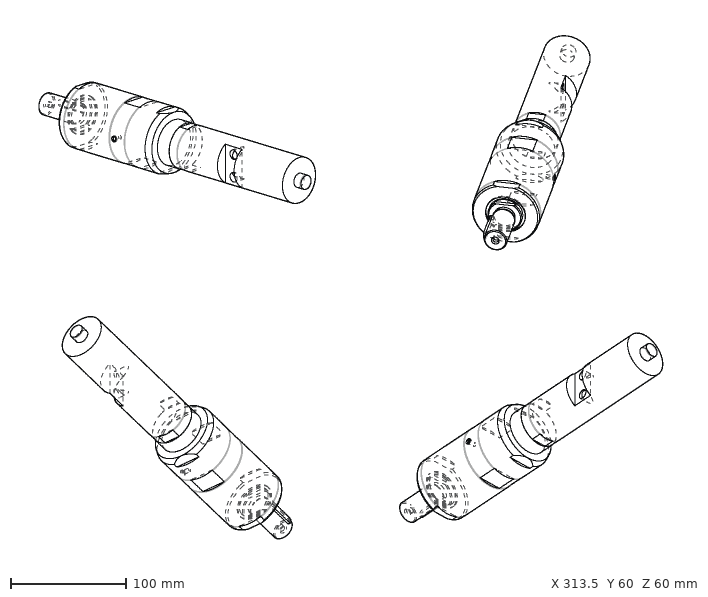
import cadquery as cq
import math

TOTAL_LENGTH = 313.5
SHAFT_END = 36.0
COLLAR_START = 39.8
HEAD_START = 43.3
FRONT_FLAT_END = 50.8
MID_FLAT_START = 105.5
MID_FLAT_END = 123.8
REAR_FLAT_START = 144.5
CONE_START = 148.3
HEAD_END = 154.2
TAIL_FLAT_START = 168.5
TAIL_FLAT_END = 178.5
TAIL_END = 305.0

SHAFT_DIAMETER = 20.0
NECK_DIAMETER = 18.8
COLLAR_DIAMETER = 30.0
RECESS_DIAMETER = 35.0
HEAD_DIAMETER = 60.0
CONE_END_DIAMETER = 55.2
TAIL_DIAMETER = 41.5
PIN_DIAMETER = 13.0

EDGE_CHAMFER = 1.0
STEP_DEPTH = 0.15
STEP_LENGTH = 1.0
HEAD_CHAMFER_LENGTH = 2.0
HEAD_CHAMFER_DEPTH = 1.3
RECESS_DEPTH = 1.5

HEAD_ACROSS_FLATS = 55.2
COLLAR_ACROSS_FLATS = 23.8
TAIL_ACROSS_FLATS = 38.2

KEY_START = 4.7
KEY_LENGTH = 32.0
KEY_WIDTH = 6.0
KEY_TOP = 11.5

CENTER_MOUTH_DIAMETER = 7.0
CENTER_BORE_DIAMETER = 5.0
CENTER_CONE_ANGLE = 60.0
CENTER_HOLE_DEPTH = 4.7

SIDE_HOLE_X = 110.5
SIDE_MOUTH_DIAMETER = 5.0
SIDE_MOUTH_DEPTH = 1.5
SIDE_BORE_DIAMETER = 3.5
SIDE_BORE_DEPTH = 7.8

PAD_START = 226.7
PAD_LENGTH = 20.0
PAD_OFFSET = 11.0
PORT_DIAMETER = 8.5
PORT_SPACING = 20.7
PORT_FLOOR_DIAMETER = 29.5


def cylinder_x(start, end, diameter):
    """Cylinder on the X axis between two stations."""
    return cq.Workplane("YZ").workplane(offset=start).circle(diameter / 2).extrude(end - start)


def hole_y(x, z, y_start, diameter, depth):
    """Cylinder along +Y that begins at y_start."""
    plane = cq.Plane(origin=(x, y_start, z), xDir=(1, 0, 0), normal=(0, 1, 0))
    return cq.Workplane(plane).circle(diameter / 2).extrude(depth)


def turned_body():
    """All coaxial steps in one revolved profile."""
    shaft = SHAFT_DIAMETER / 2
    neck = NECK_DIAMETER / 2
    collar = COLLAR_DIAMETER / 2
    recess = RECESS_DIAMETER / 2
    head = HEAD_DIAMETER / 2
    head_step = head - STEP_DEPTH
    tail = TAIL_DIAMETER / 2
    tail_step = tail - STEP_DEPTH
    pin = PIN_DIAMETER / 2
    profile = [
        (0, 0),
        (0, shaft - EDGE_CHAMFER),
        (EDGE_CHAMFER, shaft),
        (SHAFT_END, shaft),
        (SHAFT_END, neck),
        (COLLAR_START, neck),
        (COLLAR_START, collar - EDGE_CHAMFER),
        (COLLAR_START + EDGE_CHAMFER, collar),
        (HEAD_START + RECESS_DEPTH, collar),
        (HEAD_START + RECESS_DEPTH, recess),
        (HEAD_START, recess),
        (HEAD_START, head_step - HEAD_CHAMFER_DEPTH),
        (HEAD_START + HEAD_CHAMFER_LENGTH, head_step),
        (FRONT_FLAT_END - STEP_LENGTH, head_step),
        (FRONT_FLAT_END, head),
        (MID_FLAT_START - STEP_LENGTH, head),
        (MID_FLAT_START, head_step),
        (MID_FLAT_END - STEP_LENGTH, head_step),
        (MID_FLAT_END, head),
        (CONE_START, head),
        (HEAD_END, CONE_END_DIAMETER / 2),
        (HEAD_END, tail),
        (TAIL_FLAT_START, tail),
        (TAIL_FLAT_START, tail_step),
        (TAIL_FLAT_END - STEP_LENGTH, tail_step),
        (TAIL_FLAT_END, tail),
        (TAIL_END, tail),
        (TAIL_END, pin),
        (TOTAL_LENGTH - STEP_LENGTH, pin),
        (TOTAL_LENGTH, pin - STEP_DEPTH),
        (TOTAL_LENGTH, 0),
    ]
    return cq.Workplane("XY").polyline(profile).close().revolve(360, (0, 0, 0), (1, 0, 0))


def flat_pair_cutter(start, end, across_flats, diameter):
    """The two segments of a round section that lie outside a pair of flats."""
    length = end - start
    slab = cq.Workplane("XY").box(length, diameter, across_flats)
    return cylinder_x(start, end, diameter).cut(slab.translate((start + length / 2, 0, 0)))


def shaft_key():
    """Round-ended key that stands proud of the shaft on +Y."""
    plane = cq.Plane(origin=(KEY_START + KEY_LENGTH / 2, 0, 0), xDir=(1, 0, 0), normal=(0, 1, 0))
    return cq.Workplane(plane).slot2D(KEY_LENGTH, KEY_WIDTH).extrude(KEY_TOP)


def center_hole():
    """Countersunk centre hole with a conical floor."""
    mouth = CENTER_MOUTH_DIAMETER / 2
    bore = CENTER_BORE_DIAMETER / 2
    slope = math.tan(math.radians(CENTER_CONE_ANGLE / 2))
    profile = [
        (0, 0),
        (0, mouth),
        ((mouth - bore) / slope, bore),
        (CENTER_HOLE_DEPTH, bore),
        (CENTER_HOLE_DEPTH + bore / slope, 0),
    ]
    return cq.Workplane("XY").polyline(profile).close().revolve(360, (0, 0, 0), (1, 0, 0))


def side_hole():
    """Radial hole with a wider mouth on the -Y side of the head."""
    surface_y = -HEAD_DIAMETER / 2
    mouth = hole_y(SIDE_HOLE_X, 0, surface_y, SIDE_MOUTH_DIAMETER, SIDE_MOUTH_DEPTH)
    bore = hole_y(SIDE_HOLE_X, 0, surface_y, SIDE_BORE_DIAMETER, SIDE_BORE_DEPTH)
    return mouth.union(bore)


def port_pad():
    """Flat-bottomed notch across the -Y side of the tail."""
    depth = TAIL_DIAMETER / 2 - PAD_OFFSET
    notch = cq.Workplane("XY").box(PAD_LENGTH, depth, TAIL_DIAMETER)
    return notch.translate((PAD_START + PAD_LENGTH / 2, -PAD_OFFSET - depth / 2, 0))


def ports():
    """Two ports in the pad, each ending on a rounded floor that rises to the pad midway."""
    floor_radius = PORT_FLOOR_DIAMETER / 2
    floor = cylinder_x(PAD_START, PAD_START + PAD_LENGTH, PORT_FLOOR_DIAMETER)
    floor = floor.translate((0, floor_radius - PAD_OFFSET, 0))
    port_x = PAD_START + PAD_LENGTH / 2
    pair = cq.Workplane("XY")
    for side in (-1, 1):
        port = hole_y(port_x, side * PORT_SPACING / 2, -PAD_OFFSET, PORT_DIAMETER, floor_radius)
        pair = pair.add(port.cut(floor))
    return pair.combine()


result = turned_body()

for flat_start, flat_end, across_flats, section_diameter in (
    (COLLAR_START, HEAD_START, COLLAR_ACROSS_FLATS, COLLAR_DIAMETER),
    (HEAD_START, FRONT_FLAT_END, HEAD_ACROSS_FLATS, HEAD_DIAMETER),
    (MID_FLAT_START, MID_FLAT_END, HEAD_ACROSS_FLATS, HEAD_DIAMETER),
    (REAR_FLAT_START, HEAD_END, HEAD_ACROSS_FLATS, HEAD_DIAMETER),
    (TAIL_FLAT_START, TAIL_FLAT_END, TAIL_ACROSS_FLATS, TAIL_DIAMETER),
):
    result = result.cut(flat_pair_cutter(flat_start, flat_end, across_flats, section_diameter))

result = result.union(shaft_key())
result = result.cut(center_hole())
result = result.cut(side_hole())
result = result.cut(port_pad())
result = result.cut(ports())